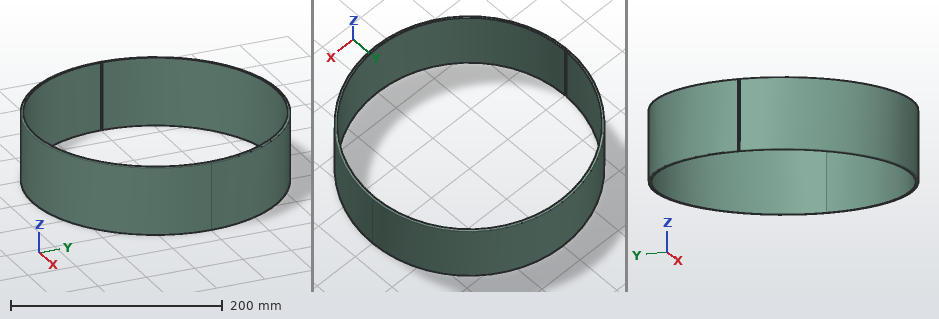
import cadquery as cq

outer_diameter = 255.0
height = 70.0
wall = 2.5
rim_fillet = 0.5
slit_width = 2.0

outer_radius = outer_diameter / 2
inner_radius = outer_radius - wall


def make_ring():
    """Plain tube with its outer rim edges rounded at both ends."""
    body = cq.Workplane("XY").circle(outer_radius).extrude(height)
    body = body.edges().fillet(rim_fillet)
    bore = cq.Workplane("XY").circle(inner_radius).extrude(height)
    return body.cut(bore)


def make_slit():
    """Cutter for the full-height gap on the -X side, opening from Y = 0 toward +Y."""
    cutter_length = 4 * wall
    return (
        cq.Workplane("XY")
        .center(-outer_radius, slit_width / 2)
        .rect(cutter_length, slit_width)
        .extrude(height)
    )


result = make_ring().cut(make_slit())